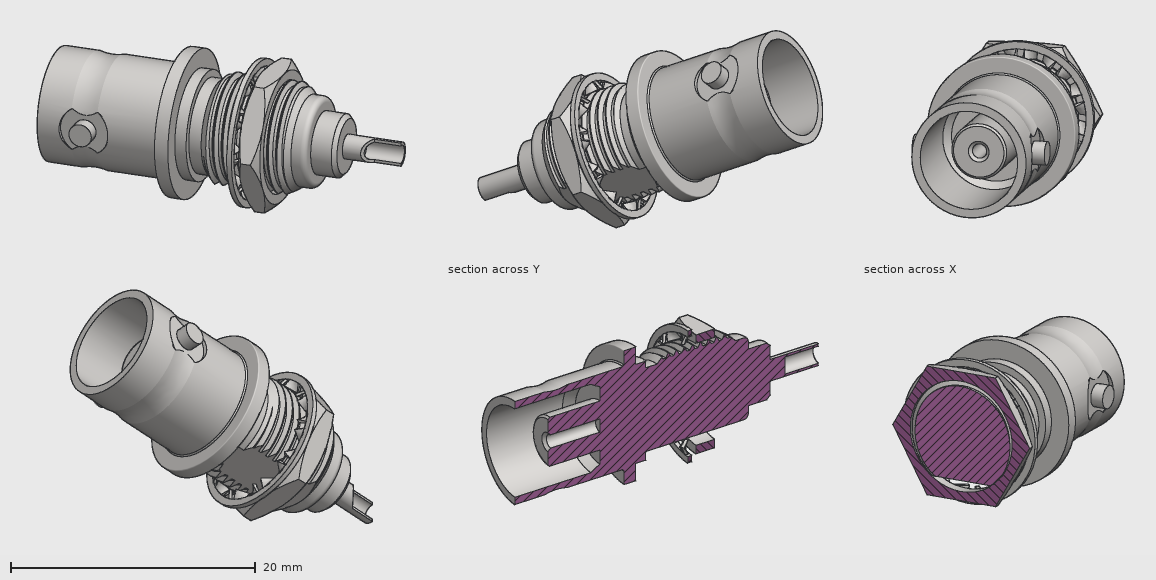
import cadquery as cq
import math

LENGTH = 29.95
BARREL_R = 4.82
FLANGE_X = 10.75
FLANGE_R = 6.25
SHOULDER_X = 11.95
SHOULDER_R = 4.65
NECK_X = 12.93
NECK_R = 4.0
THREAD_X = 14.0
COLLAR_X = 21.77
COLLAR_R = 3.83
FERRULE_X = 23.05
FERRULE_R = 2.65
CUP_X = 25.2
CUP_DIAMETER = 2.07
CUP_R = CUP_DIAMETER / 2

FLANGE_EDGE_FILLET = 0.1
FLANGE_ROOT_FILLET = 0.12
COLLAR_FILLET = 0.48
FERRULE_CHAMFER = 0.35

THREAD_R = 4.73
THREAD_ROOT_R = 4.3
RIDGE_BASE = 0.55
RIDGE_CREST = 0.1
RIDGE_EMBED = 0.1
TRIM_CLEARANCE = 0.1
CREST_AT_TOP_X = 15.15
LAST_CREST_AT_TOP_X = 20.7
TURNS_BETWEEN_CRESTS = 7
PITCH = (LAST_CREST_AT_TOP_X - CREST_AT_TOP_X) / TURNS_BETWEEN_CRESTS

LUG_X = 4.05
LUG_DIAMETER = 1.95
LUG_R = LUG_DIAMETER / 2
LUG_REACH = 5.57
SEAT_R = 2.13
SEAT_Y = 4.45
WAIST_LENGTH = 2.25
WAIST_R = 4.67

BORE_R = 4.1
BORE_DEPTH = 7.48
FLOOR_R = 3.6
FLOOR_X = 8.38
HUB_X = 3.25
HUB_R = 2.3
HUB_CHAMFER = 0.18
CONTACT_R = 0.6
CONTACT_CHAMFER = 0.27

CUP_BORE_R = 0.78
CUP_BORE_X = 26.65
CUP_SLOPE_X = 26.8
CUP_OPEN_X = 27.63
CUP_OPEN_Y = -0.05

NUT_X = 17.85
NUT_THICKNESS = 1.85
NUT_FLATS = 11.1
NUT_CHAMFER_DEPTH = 0.5

WASHER_X = 17.05
WASHER_THICKNESS = 0.42
WASHER_R = 6.17
WASHER_BORE_R = 5.55
TOOTH_COUNT = 20
TOOTH_TIP_R = 4.8
TOOTH_WIDTH = 1.2
TOOTH_THICKNESS = 0.3
TOOTH_TWIST = 50.0
TOOTH_EMBED = 0.15


def cylinder_x(radius, x_start, x_end):
    """Solid cylinder on the X axis."""
    return cq.Workplane("YZ", origin=(x_start, 0, 0)).circle(radius).extrude(x_end - x_start)


def revolve_x(outline):
    """Turn a closed (x, radius) outline around the X axis."""
    return cq.Workplane("XY").polyline(outline).close().revolve(360, (0, 0, 0), (1, 0, 0))


def make_barrel():
    """Barrel with its shallow arched waist around the lugs."""
    half_waist = WAIST_LENGTH / 2
    return (
        cq.Workplane("XY")
        .lineTo(0, BARREL_R)
        .lineTo(LUG_X - half_waist, BARREL_R)
        .threePointArc((LUG_X, WAIST_R), (LUG_X + half_waist, BARREL_R))
        .lineTo(FLANGE_X - FLANGE_ROOT_FILLET, BARREL_R)
        .radiusArc((FLANGE_X, BARREL_R + FLANGE_ROOT_FILLET), FLANGE_ROOT_FILLET)
        .lineTo(FLANGE_X, 0)
        .close()
        .revolve(360, (0, 0, 0), (1, 0, 0))
    )


def make_thread():
    """Threaded length: core plus helical ridge, trimmed to 45 degree cones at both ends."""
    turns_before = math.ceil((CREST_AT_TOP_X - THREAD_X) / PITCH) + 1
    helix_x = CREST_AT_TOP_X - turns_before * PITCH
    helix_length = COLLAR_X - helix_x + PITCH
    base_r = THREAD_ROOT_R - RIDGE_EMBED
    flank = (RIDGE_BASE - RIDGE_CREST) / 2 / (THREAD_R - THREAD_ROOT_R)
    half_base = RIDGE_BASE / 2 + flank * RIDGE_EMBED
    half_crest = RIDGE_CREST / 2

    helix = cq.Wire.makeHelix(PITCH, helix_length, base_r)
    ridge = (
        cq.Workplane("XZ")
        .polyline([
            (base_r, -half_base),
            (THREAD_R, -half_crest),
            (THREAD_R, half_crest),
            (base_r, half_base),
        ])
        .close()
        .sweep(cq.Workplane(obj=helix), isFrenet=True)
    )
    ridge = (
        ridge.rotate((0, 0, 0), (0, 1, 0), 90)
        .rotate((0, 0, 0), (1, 0, 0), 180)
        .translate((helix_x, 0, 0))
    )
    outer_r = THREAD_R + TRIM_CLEARANCE
    envelope = revolve_x([
        (THREAD_X, 0),
        (THREAD_X, NECK_R),
        (THREAD_X + outer_r - NECK_R, outer_r),
        (COLLAR_X - outer_r + COLLAR_R, outer_r),
        (COLLAR_X, COLLAR_R),
        (COLLAR_X, 0),
    ])
    core = cylinder_x(THREAD_ROOT_R, THREAD_X, COLLAR_X).intersect(envelope)
    return core.union(ridge.intersect(envelope))


def make_rear():
    """Neck, thread and collar, with the flat along their underside."""
    neck = cylinder_x(NECK_R, NECK_X, THREAD_X)
    collar = cylinder_x(COLLAR_R, COLLAR_X, FERRULE_X).faces(">X").edges().fillet(COLLAR_FILLET)
    rear = neck.union(make_thread()).union(collar)
    flat = (
        cq.Workplane("XY", origin=(NECK_X, 0, -COLLAR_R))
        .rect(FERRULE_X - NECK_X, 2 * THREAD_R, centered=(False, True))
        .extrude(-THREAD_R)
    )
    return rear.cut(flat)


def make_solder_cup():
    """Terminal pin hollowed from its end and cut open on the -Y side."""
    cup = cylinder_x(CUP_R, CUP_X, LENGTH).cut(cylinder_x(CUP_BORE_R, CUP_BORE_X, LENGTH))
    opening = (
        cq.Workplane("XY")
        .polyline([
            (CUP_SLOPE_X, -CUP_R),
            (CUP_OPEN_X, CUP_OPEN_Y),
            (LENGTH, CUP_OPEN_Y),
            (LENGTH, -CUP_R),
        ])
        .close()
        .extrude(CUP_R, both=True)
    )
    return cup.cut(opening)


def make_socket():
    """Volume removed for the mating socket, leaving the central hub and its contact hole."""
    bore = revolve_x([
        (0, 0),
        (0, BORE_R),
        (BORE_DEPTH, BORE_R),
        (FLOOR_X, FLOOR_R),
        (FLOOR_X, 0),
    ])
    hub = cylinder_x(HUB_R, HUB_X, FLOOR_X).faces("<X").edges().chamfer(HUB_CHAMFER)
    contact = revolve_x([
        (HUB_X, 0),
        (HUB_X, CONTACT_R + CONTACT_CHAMFER),
        (HUB_X + CONTACT_CHAMFER, CONTACT_R),
        (FLOOR_X, CONTACT_R),
        (FLOOR_X, 0),
    ])
    return bore.cut(hub).union(contact)


def make_lug(side):
    """Bayonet lug on the given Y side, rooted in the barrel wall."""
    root_y = (BORE_R + SEAT_Y) / 2
    return (
        cq.Workplane("XZ", origin=(LUG_X, side * root_y, 0))
        .circle(LUG_R)
        .extrude(-side * (LUG_REACH - root_y))
    )


def make_seat(side):
    """Volume of the round spot face around a lug."""
    return (
        cq.Workplane("XZ", origin=(LUG_X, side * SEAT_Y, 0))
        .circle(SEAT_R)
        .extrude(-side * (LUG_REACH - SEAT_Y))
    )


def make_connector():
    """Whole connector body, from the mating socket to the solder cup."""
    flange = cylinder_x(FLANGE_R, FLANGE_X, SHOULDER_X).faces("<X").edges().fillet(FLANGE_EDGE_FILLET)
    ferrule = cylinder_x(FERRULE_R, FERRULE_X, CUP_X).faces(">X").edges().chamfer(FERRULE_CHAMFER)
    barrel = make_barrel().cut(make_socket())
    for side in (-1, 1):
        barrel = barrel.cut(make_seat(side)).union(make_lug(side))
    return (
        barrel.union(flange)
        .union(cylinder_x(SHOULDER_R, SHOULDER_X, NECK_X))
        .union(make_rear())
        .union(ferrule)
        .union(make_solder_cup())
    )


def make_nut():
    """Hex nut with corners along Y, chamfered on both faces, bored to the thread crests."""
    nut_end = NUT_X + NUT_THICKNESS
    corner_r = NUT_FLATS / math.sqrt(3)
    face_r = NUT_FLATS / 2
    hexagon = cq.Workplane("YZ", origin=(NUT_X, 0, 0)).polygon(6, 2 * corner_r).extrude(NUT_THICKNESS)
    chamfered = revolve_x([
        (NUT_X, 0),
        (NUT_X, face_r),
        (NUT_X + NUT_CHAMFER_DEPTH, corner_r),
        (nut_end - NUT_CHAMFER_DEPTH, corner_r),
        (nut_end, face_r),
        (nut_end, 0),
    ])
    return hexagon.intersect(chamfered).cut(cylinder_x(THREAD_R, NUT_X, nut_end))


def make_tooth(twist):
    """One inward tooth on the +Y side, twisted about its own radius towards its tip."""
    root_r = WASHER_BORE_R + TOOTH_EMBED
    return (
        cq.Workplane("XZ", origin=(WASHER_X + WASHER_THICKNESS / 2, root_r, 0))
        .rect(TOOTH_THICKNESS, TOOTH_WIDTH)
        .workplane(offset=root_r - TOOTH_TIP_R)
        .transformed(rotate=(0, 0, twist))
        .rect(TOOTH_THICKNESS, TOOTH_WIDTH)
        .loft(ruled=True)
    )


def make_washer():
    """Flat ring whose inner teeth are twisted alternately one way and the other."""
    washer_end = WASHER_X + WASHER_THICKNESS
    washer = cylinder_x(WASHER_R, WASHER_X, washer_end).cut(
        cylinder_x(WASHER_BORE_R, WASHER_X, washer_end)
    )
    for index in range(TOOTH_COUNT):
        twist = TOOTH_TWIST if index % 2 == 0 else -TOOTH_TWIST
        angle = (index + 0.5) * 360 / TOOTH_COUNT
        washer = washer.union(make_tooth(twist).rotate((0, 0, 0), (1, 0, 0), angle))
    return washer


connector = make_connector()
nut = make_nut()
washer = make_washer()

result = cq.Compound.makeCompound([
    connector.solids().val(),
    nut.solids().val(),
    washer.solids().val(),
])